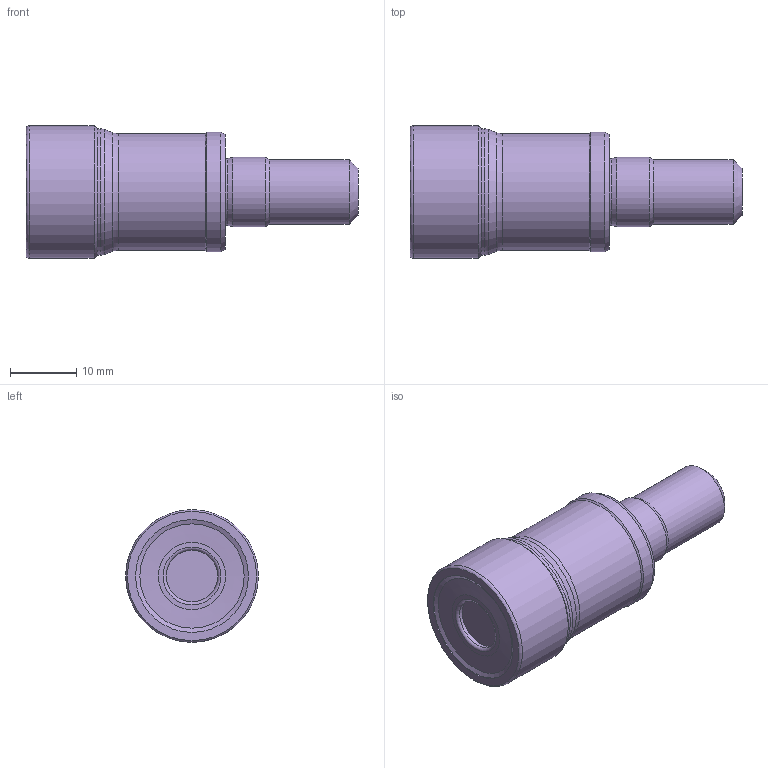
import cadquery as cq
import math

TOTAL_LENGTH = 50.0

CAP_RADIUS = 10.0
COLLAR_RADIUS = 19.0 / 2
CAP_LENGTH = 10.75
FRONT_ROUND_LENGTH = 0.5
FRONT_ROUND_RADIUS = 0.6
CAP_BACK_CHAMFER = CAP_RADIUS - COLLAR_RADIUS

RIM_INNER_RADIUS = 8.5
DISH_OUTER_RADIUS = 7.85
DISH_INNER_RADIUS = 5.05
RIM_STEP_DEPTH = 0.1
DISH_OUTER_DEPTH = 0.4
DISH_INNER_DEPTH = 0.55
POCKET_RADIUS = 3.9
POCKET_LIP_FILLET = 0.45
POCKET_WALL_START = DISH_INNER_DEPTH + POCKET_LIP_FILLET
POCKET_WALL_LENGTH = 0.55
POCKET_DEPTH = POCKET_WALL_START + POCKET_WALL_LENGTH

BEVEL_ANGLE = math.radians(30)
NECK_TAPER_ANGLE = math.radians(15)

COLLAR_END = 11.2
BARREL_RADIUS = 17.6 / 2
FLARE_ANGLE = math.radians(20)
FLARE_CREST_RADIUS = 1.7
FLARE_ROOT_RADIUS = 2.6

FLANGE_RADIUS = 18.0 / 2
FLANGE_START = 27.0
FLANGE_END = 30.0
FLANGE_RAMP_LENGTH = 0.25
FLANGE_BEVEL_LENGTH = 0.65
FLANGE_BEVEL_DEPTH = FLANGE_BEVEL_LENGTH * math.tan(BEVEL_ANGLE)

SHOULDER_RADIUS = 10.5 / 2
SHOULDER_END = 36.0
NECK_LENGTH = 0.4
NECK_TAPER_LENGTH = 0.75
NECK_RADIUS = SHOULDER_RADIUS - NECK_TAPER_LENGTH * math.tan(NECK_TAPER_ANGLE)
SHANK_RADIUS = 9.75 / 2
SHANK_START = SHOULDER_END + (SHOULDER_RADIUS - SHANK_RADIUS) / math.tan(BEVEL_ANGLE)
TIP_CHAMFER = 1.35


def turn(profile):
    """Revolve a closed half-profile (X along the axis, Y as radius) about the X axis."""
    return profile.close().revolve(360, (0, 0, 0), (1, 0, 0))


def arc_point(center_x, center_radius, radius, angle):
    """Point on a circle in the half-profile plane, angle measured from the +X axis."""
    return (center_x + radius * math.cos(angle), center_radius + radius * math.sin(angle))


def make_cap():
    lip_center = (POCKET_WALL_START, POCKET_RADIUS + POCKET_LIP_FILLET)
    lip_middle = arc_point(*lip_center, POCKET_LIP_FILLET, math.radians(225))

    front_round_center = (FRONT_ROUND_LENGTH, CAP_RADIUS - FRONT_ROUND_RADIUS)
    front_round_sweep = math.asin(FRONT_ROUND_LENGTH / FRONT_ROUND_RADIUS)
    front_round_start = arc_point(
        *front_round_center, FRONT_ROUND_RADIUS, math.pi / 2 + front_round_sweep
    )
    front_round_middle = arc_point(
        *front_round_center, FRONT_ROUND_RADIUS, math.pi / 2 + front_round_sweep / 2
    )

    return turn(
        cq.Workplane("XY")
        .moveTo(POCKET_DEPTH, 0)
        .lineTo(POCKET_DEPTH, POCKET_RADIUS)
        .lineTo(POCKET_WALL_START, POCKET_RADIUS)
        .threePointArc(lip_middle, (DISH_INNER_DEPTH, lip_center[1]))
        .lineTo(DISH_INNER_DEPTH, DISH_INNER_RADIUS)
        .lineTo(DISH_OUTER_DEPTH, DISH_OUTER_RADIUS)
        .lineTo(RIM_STEP_DEPTH, RIM_INNER_RADIUS)
        .lineTo(0, RIM_INNER_RADIUS)
        .lineTo(*front_round_start)
        .threePointArc(front_round_middle, (FRONT_ROUND_LENGTH, CAP_RADIUS))
        .lineTo(CAP_LENGTH - CAP_BACK_CHAMFER, CAP_RADIUS)
        .lineTo(CAP_LENGTH, COLLAR_RADIUS)
        .lineTo(CAP_LENGTH, 0)
    )


def make_body():
    crest_center = (COLLAR_END, COLLAR_RADIUS - FLARE_CREST_RADIUS)
    crest_middle = arc_point(*crest_center, FLARE_CREST_RADIUS, math.pi / 2 - FLARE_ANGLE / 2)
    cone_start = arc_point(*crest_center, FLARE_CREST_RADIUS, math.pi / 2 - FLARE_ANGLE)
    cone_end_radius = BARREL_RADIUS + FLARE_ROOT_RADIUS * (1 - math.cos(FLARE_ANGLE))
    cone_end_x = cone_start[0] + (cone_start[1] - cone_end_radius) / math.tan(FLARE_ANGLE)
    root_center = (
        cone_end_x + FLARE_ROOT_RADIUS * math.sin(FLARE_ANGLE),
        BARREL_RADIUS + FLARE_ROOT_RADIUS,
    )
    root_middle = arc_point(*root_center, FLARE_ROOT_RADIUS, -math.pi / 2 - FLARE_ANGLE / 2)

    return turn(
        cq.Workplane("XY")
        .moveTo(CAP_LENGTH, 0)
        .lineTo(CAP_LENGTH, COLLAR_RADIUS)
        .lineTo(COLLAR_END, COLLAR_RADIUS)
        .threePointArc(crest_middle, cone_start)
        .lineTo(cone_end_x, cone_end_radius)
        .threePointArc(root_middle, (root_center[0], BARREL_RADIUS))
        .lineTo(FLANGE_START, BARREL_RADIUS)
        .lineTo(FLANGE_START + FLANGE_RAMP_LENGTH, FLANGE_RADIUS)
        .lineTo(FLANGE_END - FLANGE_BEVEL_LENGTH, FLANGE_RADIUS)
        .lineTo(FLANGE_END, FLANGE_RADIUS - FLANGE_BEVEL_DEPTH)
        .lineTo(FLANGE_END, NECK_RADIUS)
        .lineTo(FLANGE_END + NECK_LENGTH, NECK_RADIUS)
        .lineTo(FLANGE_END + NECK_LENGTH + NECK_TAPER_LENGTH, SHOULDER_RADIUS)
        .lineTo(SHOULDER_END, SHOULDER_RADIUS)
        .lineTo(SHANK_START, SHANK_RADIUS)
        .lineTo(TOTAL_LENGTH - TIP_CHAMFER, SHANK_RADIUS)
        .lineTo(TOTAL_LENGTH, SHANK_RADIUS - TIP_CHAMFER)
        .lineTo(TOTAL_LENGTH, 0)
    )


cap = make_cap()
body = make_body()

result = cq.Compound.makeCompound([cap.val(), body.val()])